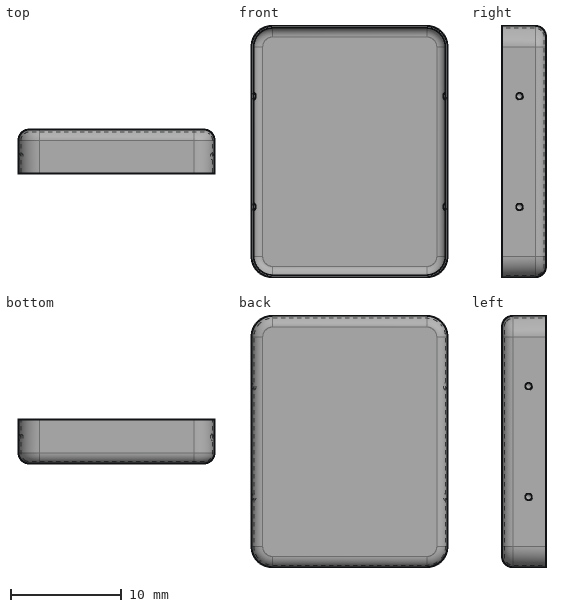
import cadquery as cq
import math

width = 17.7
depth = 4.0
height = 22.7
wall = 0.2
corner_radius = 1.9
back_edge_radius = 1.0

dimple_radius = 0.3
bump_radius = 0.35
dimple_from_rim = 1.6
dimple_spacing = 9.99
cap_height = 0.2

open_face_y = -depth / 2


def rounded_block(inset):
    """Block with rounded corners and a rounded back edge, inset from the outer skin."""
    length_y = depth - inset
    return (
        cq.Workplane("XY")
        .box(width - 2 * inset, length_y, height - 2 * inset)
        .translate((0, open_face_y + length_y / 2, 0))
        .edges("|Y")
        .fillet(corner_radius - inset)
        .faces(">Y")
        .edges()
        .fillet(back_edge_radius - inset)
    )


def spherical_cap(side, base_x, z, base_radius):
    """Round cap whose flat base lies at base_x and which bulges towards the tray centre."""
    sphere_radius = (base_radius**2 + cap_height**2) / (2 * cap_height)
    half_angle = math.asin(base_radius / sphere_radius) / 2
    arc_mid_x = -cap_height + sphere_radius * (1 - math.cos(half_angle))
    arc_mid_z = sphere_radius * math.sin(half_angle)
    cap = (
        cq.Workplane("XZ")
        .moveTo(0, 0)
        .lineTo(0, base_radius)
        .threePointArc((arc_mid_x, arc_mid_z), (-cap_height, 0))
        .close()
        .revolve(360, (0, 0, 0), (1, 0, 0))
        .translate((base_x, open_face_y + dimple_from_rim, z))
    )
    return cap if side > 0 else cap.mirror("YZ")


result = rounded_block(0).cut(rounded_block(wall))

for side in (-1, 1):
    for z in (-dimple_spacing / 2, dimple_spacing / 2):
        result = result.union(spherical_cap(side, width / 2 - wall, z, bump_radius))
        result = result.cut(spherical_cap(side, width / 2, z, dimple_radius))